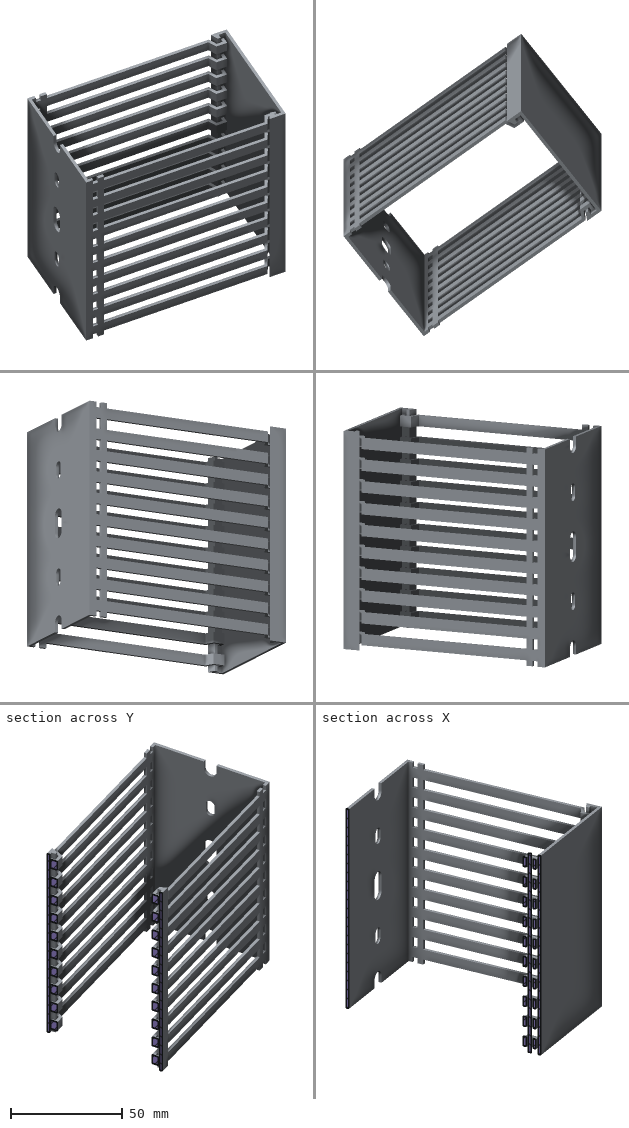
import cadquery as cq
import math

width = 60.0
depth = 100.0
length = 100.0

wall = 1.5
base_thickness = 1.5

finger_pitch = 10.0
finger_width = 5.0
gap_width = finger_pitch - finger_width
finger_count = round(length / finger_pitch)
solid_edge = 3.5
break_slot = 2.5
tie_strip = 3.0

bend_drop = 9.0
lean_slope = 0.5
hook_x = 5.5
hook_drop = 2.5
hook_tip_x = 2.0

lid_thickness = 1.5
lid_wall = 1.5
lid_skirt = 8.0
barb_x = 3.5
barb_drop = 4.8

large_slot_width = 6.5
large_slot_length = 14.0
large_slot_heights = [0, length / 2, length]
small_slot_width = 4.5
small_slot_length = 8.0
small_slot_heights = [length / 4, length * 3 / 4]


def mirrored(half_outline):
    """Closes a half outline with its mirror image about the duct's middle plane at half its width."""
    return half_outline + [(width - x, y) for x, y in reversed(half_outline)]


def extruded(outline):
    """Runs a cross-section along the whole length of the duct."""
    return cq.Workplane("XY").polyline(outline).close().extrude(length)


def duct_profile():
    """The U-shaped wall with its hooked ends."""
    bend_y = depth - bend_drop
    lean_offset = wall * math.hypot(1, lean_slope)
    hook_wall_x = hook_x - wall
    hook_y = depth - hook_drop
    half_outline = [
        (0, 0),
        (0, bend_y),
        (hook_wall_x, bend_y + lean_slope * hook_wall_x),
        (hook_wall_x, hook_y - wall),
        (hook_tip_x, hook_y - wall),
        (hook_tip_x, hook_y),
        (hook_x, hook_y),
        (hook_x, bend_y + lean_slope * hook_x - lean_offset),
        (wall, bend_y + lean_slope * wall - lean_offset),
        (wall, base_thickness),
    ]
    return extruded(mirrored(half_outline))


def cut_finger_gaps(body):
    """Cuts the openings between fingers through both side walls, with half gaps at the duct ends."""
    slot_end = solid_edge + break_slot
    strip_end = slot_end + tie_strip
    gap_places = [(0, index * finger_pitch) for index in range(finger_count + 1)]
    for start, end in [(solid_edge, slot_end), (strip_end, depth)]:
        gaps = (
            cq.Workplane("YZ", origin=(0, (start + end) / 2, 0))
            .pushPoints(gap_places)
            .rect(end - start, gap_width)
            .extrude(width)
        )
        body = body.cut(gaps)
    return body


def slot_row(slot_length, slot_width, heights):
    """Round-ended slots along Z, through the base on the duct's middle plane."""
    return (
        cq.Workplane("XZ")
        .pushPoints([(width / 2, height) for height in heights])
        .slot2D(slot_length, slot_width, 90)
        .extrude(-base_thickness)
    )


def make_duct():
    """Slotted duct; the outermost large base slots open through the duct ends."""
    large_slots = slot_row(large_slot_length, large_slot_width, large_slot_heights)
    small_slots = slot_row(small_slot_length, small_slot_width, small_slot_heights)
    return cut_finger_gaps(duct_profile()).cut(large_slots).cut(small_slots)


def make_lid():
    """Flat cover with two barbed side walls that clip under the finger hooks."""
    skirt_y = depth - lid_skirt
    catch_y = depth - barb_drop
    half_outline = [
        (0, depth),
        (0, skirt_y),
        (barb_x, skirt_y + lean_slope * barb_x),
        (barb_x, catch_y),
        (lid_wall, catch_y),
        (lid_wall, depth - lid_thickness),
    ]
    return extruded(mirrored(half_outline))


duct = make_duct()
lid = make_lid()
result = cq.Compound.makeCompound([duct.val(), lid.val()])